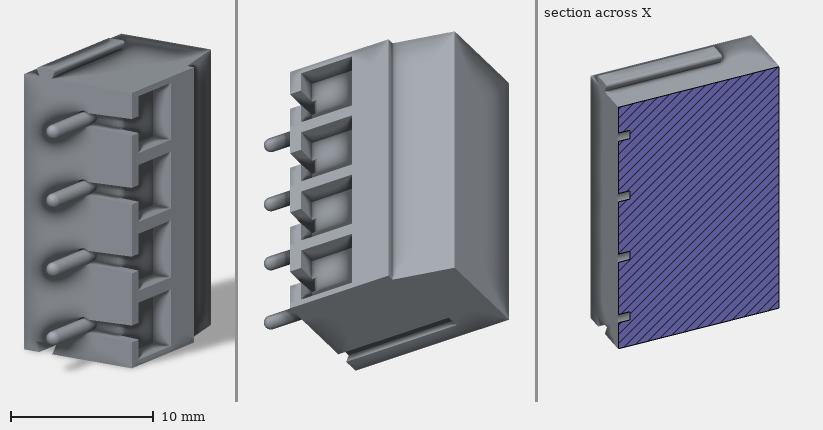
import cadquery as cq
import math

poles = 4
height = 20.0
total_height = 20.7
pitch = height / poles
width = 9.0
depth = 12.48
total_depth = 16.9
back_width = 7.5
shoulder_width = 8.42
shoulder_depth = 8.0

dovetail_x = 1.82
dovetail_length = 8.98
rib_neck = 1.0
rib_crest = 1.65
rib_height = total_height - height
rib_rounding = 0.19
groove_mouth = 1.08
groove_floor = 1.75
groove_height = 0.75

pin_x = 5.0
pin_radius = 0.5
pin_length = total_depth - depth
pin_clearance_radius = 0.6

slot_depth = 0.9
slot_start_width = 0.93
slot_end_width = 1.22

pocket_start_x = 7.5
pocket_length_y = 4.15
pocket_height = 4.15
lip_radius = 0.41
lip_bevel_width = 0.12
lip_bevel_depth = 0.05


def make_housing():
    outline = [
        (0, 0),
        (width, 0),
        (width, shoulder_depth),
        (shoulder_width, shoulder_depth),
        (back_width, depth),
        (0, depth),
    ]
    return cq.Workplane("XY").polyline(outline).close().extrude(height)


def make_dovetail(bottom_width, top_width, dovetail_height, bottom_z):
    """Dovetail bar running back from the front face."""
    outline = [
        (dovetail_x - bottom_width / 2, bottom_z),
        (dovetail_x + bottom_width / 2, bottom_z),
        (dovetail_x + top_width / 2, bottom_z + dovetail_height),
        (dovetail_x - top_width / 2, bottom_z + dovetail_height),
    ]
    return cq.Workplane("XZ").polyline(outline).close().extrude(-dovetail_length)


def make_slot(z):
    """Tapered slot whose floor rolls over a rounded lip into the wire pocket."""
    taper = [
        (pin_x, z - slot_start_width / 2),
        (width, z - slot_end_width / 2),
        (width, z + slot_end_width / 2),
        (pin_x, z + slot_start_width / 2),
    ]
    prism = cq.Workplane("XZ").polyline(taper).close().extrude(-depth)

    lip_x = pocket_start_x - lip_radius
    lip_y = slot_depth + lip_bevel_depth
    arc_middle_x = lip_x + lip_radius * math.sin(math.pi / 4)
    arc_middle_y = lip_y + lip_radius * (1 - math.cos(math.pi / 4))
    floor_profile = (
        cq.Workplane("XY", origin=(0, 0, z - slot_end_width))
        .moveTo(pin_x, 0)
        .lineTo(width, 0)
        .lineTo(width, lip_y + lip_radius)
        .lineTo(pocket_start_x, lip_y + lip_radius)
        .threePointArc((arc_middle_x, arc_middle_y), (lip_x, lip_y))
        .lineTo(lip_x - lip_bevel_width, slot_depth)
        .lineTo(pin_x, slot_depth)
        .close()
        .extrude(2 * slot_end_width)
    )
    return prism.intersect(floor_profile)


def make_pocket(z):
    pocket_depth_x = width - pocket_start_x
    return cq.Workplane("XY", origin=(pocket_start_x, slot_depth, z)).box(
        pocket_depth_x, pocket_length_y, pocket_height, centered=(False, False, True)
    )


def make_pin_clearance(z):
    return cq.Workplane("XZ", origin=(pin_x, 0, z)).circle(pin_clearance_radius).extrude(-slot_depth)


def make_pin(z):
    """Round pin standing on the clearance floor, with a hemispherical tip."""
    dome_start_y = pin_radius - pin_length
    dome_middle_offset = pin_radius * math.sin(math.pi / 4)
    return (
        cq.Workplane("XY", origin=(pin_x, 0, z))
        .moveTo(0, slot_depth)
        .lineTo(pin_radius, slot_depth)
        .lineTo(pin_radius, dome_start_y)
        .threePointArc((dome_middle_offset, dome_start_y - dome_middle_offset), (0, -pin_length))
        .close()
        .revolve(360, (0, 0, 0), (0, 1, 0))
    )


rib = make_dovetail(rib_neck, rib_crest, rib_height, height)
rib = rib.edges("|Y and >Z").fillet(rib_rounding)
groove = make_dovetail(groove_mouth, groove_floor, groove_height, 0)

result = make_housing().union(rib).cut(groove)
for pole in range(poles):
    pole_z = (pole + 0.5) * pitch
    result = result.cut(make_pocket(pole_z))
    result = result.cut(make_slot(pole_z))
    result = result.cut(make_pin_clearance(pole_z))
    result = result.union(make_pin(pole_z))